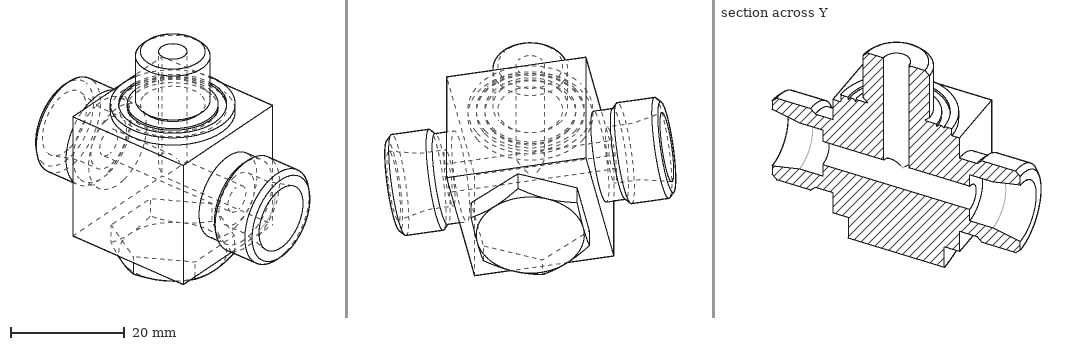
import cadquery as cq
import math

body_side = 25.0
half_side = body_side / 2

overall_length = 49.0
port_diameter = 18.0
port_neck_diameter = 16.15
port_neck_length = 3.5
port_chamfer = (port_diameter - port_neck_diameter) / 2

passage_diameter = 5.0
tube_seat_diameter = 10.0
cone_mouth_diameter = 12.3
cone_half_angle = 12.0
tube_seat_depth = 10.0

collar_diameter = 22.0
collar_height = 1.5
seal_outer_diameter = 19.0
seal_inner_diameter = 16.0
stud_diameter = 13.2
stud_height = 11.0
stud_chamfer = 0.9

hex_across_flats = 19.0
hex_height = 4.5
hex_chamfer_angle = 30.0

collar_top = half_side + collar_height
stud_top = collar_top + stud_height
half_length = overall_length / 2


def revolve_about_z(profile):
    """Revolve a closed profile of (radius, height) points about the Z axis."""
    return cq.Workplane("XZ").polyline(profile).close().revolve(360, (0, 0, 0), (0, 1, 0))


def port_outside():
    """Neck and chamfered cylinder of a port, pointing up along Z."""
    radius = port_diameter / 2
    neck_radius = port_neck_diameter / 2
    neck_end = half_side + port_neck_length
    return revolve_about_z([
        (0, 0),
        (neck_radius, 0),
        (neck_radius, neck_end),
        (radius, neck_end + port_chamfer),
        (radius, half_length - port_chamfer),
        (neck_radius, half_length),
        (0, half_length),
    ])


def port_bore():
    """Conical mouth, tube seat and inner passage of a port, pointing up along Z."""
    mouth_radius = cone_mouth_diameter / 2
    seat_radius = tube_seat_diameter / 2
    passage_radius = passage_diameter / 2
    cone_depth = (mouth_radius - seat_radius) / math.tan(math.radians(cone_half_angle))
    seat_floor = half_length - tube_seat_depth
    return revolve_about_z([
        (0, 0),
        (passage_radius, 0),
        (passage_radius, seat_floor),
        (seat_radius, seat_floor),
        (seat_radius, half_length - cone_depth),
        (mouth_radius, half_length),
        (0, half_length),
    ])


def collar_with_seal():
    """Collar whose groove holds a round ring, flush with the collar face."""
    ring_radius = (seal_outer_diameter - seal_inner_diameter) / 4
    ring_center_radius = (seal_outer_diameter + seal_inner_diameter) / 4
    groove_floor = collar_top - ring_radius
    inner_radius = seal_inner_diameter / 2
    outer_radius = seal_outer_diameter / 2
    collar_radius = collar_diameter / 2
    profile = (
        cq.Workplane("XZ")
        .moveTo(0, half_side)
        .lineTo(collar_radius, half_side)
        .lineTo(collar_radius, collar_top)
        .lineTo(outer_radius, collar_top)
        .lineTo(outer_radius, groove_floor)
        .threePointArc((ring_center_radius, collar_top), (inner_radius, groove_floor))
        .lineTo(inner_radius, collar_top)
        .lineTo(0, collar_top)
        .close()
    )
    return profile.revolve(360, (0, 0, 0), (0, 1, 0))


def stud():
    """Threaded stud, chamfered at both ends."""
    cylinder = cq.Workplane("XY").workplane(offset=collar_top).circle(stud_diameter / 2).extrude(stud_height)
    return cylinder.faces("<Z or >Z").chamfer(stud_chamfer)


def hex_head():
    """Hexagon with corners on the Y axis and a conical chamfer around its lower face."""
    corner_radius = hex_across_flats / 2 / math.cos(math.radians(30))
    flat_radius = hex_across_flats / 2
    chamfer_height = (corner_radius - flat_radius) * math.tan(math.radians(hex_chamfer_angle))
    bottom = -half_side - hex_height
    prism = (
        cq.Workplane("XY")
        .workplane(offset=bottom)
        .polygon(6, 2 * corner_radius)
        .extrude(hex_height)
        .rotate((0, 0, 0), (0, 0, 1), 90)
    )
    envelope = revolve_about_z([
        (0, bottom),
        (flat_radius, bottom),
        (corner_radius, bottom + chamfer_height),
        (corner_radius, -half_side),
        (0, -half_side),
    ])
    return prism.intersect(envelope)


def along_x(shape, direction):
    """Turn a shape that points along +Z so that it points along +X or -X."""
    return shape.rotate((0, 0, 0), (0, 1, 0), direction * 90)


result = cq.Workplane("XY").box(body_side, body_side, body_side)
result = result.union(collar_with_seal()).union(stud()).union(hex_head())

for direction in (1, -1):
    result = result.union(along_x(port_outside(), direction))

for direction in (1, -1):
    result = result.cut(along_x(port_bore(), direction))

stud_passage = cq.Workplane("XY").circle(passage_diameter / 2).extrude(stud_top)
result = result.cut(stud_passage)